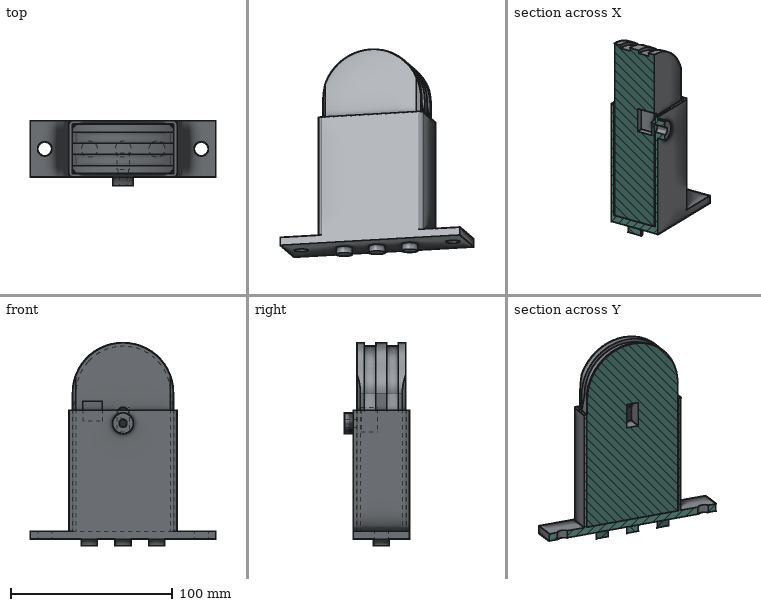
import cadquery as cq


PLATE_LENGTH = 115.0
PLATE_THICKNESS = 5.0
MOUNT_HOLE_SPACING = 97.0
MOUNT_HOLE_DIAMETER = 8.6
TUBE_LENGTH = 67.0
TUBE_WIDTH = 35.0
TUBE_TOP = 80.0
TUBE_WALL = 2.0
TUBE_CORNER_RADIUS = 2.3
CAVITY_CORNER_RADIUS = 1.0
BOSS_DIAMETER = 13.0
BOSS_LENGTH = 5.4
BOSS_BORE = 4.8
BOSS_Z = 71.8

CAVITY_LENGTH = TUBE_LENGTH - 2 * TUBE_WALL
CAVITY_WIDTH = TUBE_WIDTH - 2 * TUBE_WALL

BLOCK_LENGTH = 62.6
BLOCK_WIDTH = 30.2
BLOCK_TOP = 121.8
BLOCK_CHAMFER = 2.1
CENTRE_RIB_WIDTH = 6.8
GROOVE_WIDTH = 7.0
GROOVE_DEPTH = 2.0
GROOVE_RUNOUT = 11.3
FACE_HOLE_DIAMETER = 6.8
FACE_HOLE_TOP = 81.6
FACE_HOLE_DEPTH = 2.5
POCKET_WIDTH = 7.5
POCKET_DEPTH = 10.1
POCKET_HEIGHT = 15.1
RECESS_LENGTH = 12.1
RECESS_LEFT = -25.0
RECESS_TOP = 85.5
RECESS_HEIGHT = 12.1
RECESS_DEPTH = 0.1

BLOCK_RADIUS = BLOCK_LENGTH / 2
BLOCK_BOTTOM = PLATE_THICKNESS
ARC_CENTRE_Z = BLOCK_TOP - BLOCK_RADIUS

FOOT_COUNT = 3
FOOT_DIAMETER = 10.0
FOOT_HEIGHT = 4.2
FOOT_SPACING = 20.9


def cylinder_along_y(diameter, y_start, y_end, z):
    """Cylinder on X = 0 at height z, running from y_start to y_end."""
    direction = cq.Vector(0, 1, 0)
    start = cq.Vector(0, y_start, z)
    return cq.Workplane(cq.Solid.makeCylinder(diameter / 2, y_end - y_start, start, direction))


def upright_prism(length, width, bottom, top):
    """Rectangular prism centred on X = Y = 0."""
    return cq.Workplane("XY", origin=(0, 0, bottom)).rect(length, width).extrude(top - bottom)


def make_housing():
    """Plate, tube and boss as one solid, with the cavity, bore and mounting holes cut."""
    front = -TUBE_WIDTH / 2
    plate = upright_prism(PLATE_LENGTH, TUBE_WIDTH, 0, PLATE_THICKNESS)
    tube = upright_prism(TUBE_LENGTH, TUBE_WIDTH, PLATE_THICKNESS, TUBE_TOP)
    tube = tube.edges("|Z").fillet(TUBE_CORNER_RADIUS)
    boss = cylinder_along_y(BOSS_DIAMETER, front - BOSS_LENGTH, front + TUBE_WALL / 2, BOSS_Z)
    cavity = upright_prism(CAVITY_LENGTH, CAVITY_WIDTH, PLATE_THICKNESS, TUBE_TOP)
    cavity = cavity.edges("|Z").fillet(CAVITY_CORNER_RADIUS)
    bore = cylinder_along_y(BOSS_BORE, front - BOSS_LENGTH, front + TUBE_WALL, BOSS_Z)
    mount_holes = (
        cq.Workplane("XY")
        .rarray(MOUNT_HOLE_SPACING, 1.3, 2, 1)
        .circle(MOUNT_HOLE_DIAMETER / 2)
        .extrude(PLATE_THICKNESS)
    )
    return plate.union(tube).union(boss).cut(cavity).cut(bore).cut(mount_holes)


def block_profile():
    """Straight-sided outline with a half-round top."""
    return (
        cq.Workplane("XZ", origin=(0, BLOCK_WIDTH / 2, 0))
        .moveTo(-BLOCK_RADIUS, BLOCK_BOTTOM)
        .lineTo(-BLOCK_RADIUS, ARC_CENTRE_Z)
        .threePointArc((0, BLOCK_TOP), (BLOCK_RADIUS, ARC_CENTRE_Z))
        .lineTo(BLOCK_RADIUS, BLOCK_BOTTOM)
        .close()
        .extrude(BLOCK_WIDTH)
    )


def make_groove(y_centre):
    """Rim groove of even depth round the top, running out to nothing down each straight side."""
    floor_radius = BLOCK_RADIUS - GROOVE_DEPTH
    runout_z = ARC_CENTRE_Z - GROOVE_RUNOUT
    return (
        cq.Workplane("XZ", origin=(0, y_centre + GROOVE_WIDTH / 2, 0))
        .moveTo(-BLOCK_RADIUS, runout_z)
        .lineTo(-BLOCK_RADIUS, ARC_CENTRE_Z)
        .threePointArc((0, BLOCK_TOP), (BLOCK_RADIUS, ARC_CENTRE_Z))
        .lineTo(BLOCK_RADIUS, runout_z)
        .lineTo(floor_radius, ARC_CENTRE_Z)
        .threePointArc((0, ARC_CENTRE_Z + floor_radius), (-floor_radius, ARC_CENTRE_Z))
        .close()
        .extrude(GROOVE_WIDTH)
    )


def make_hole_and_pocket():
    """Round hole in the front face of the block, opening into a square-sided pocket behind it."""
    front = -BLOCK_WIDTH / 2
    pocket_front = front + FACE_HOLE_DEPTH
    hole = cylinder_along_y(FACE_HOLE_DIAMETER, front, pocket_front, FACE_HOLE_TOP - FACE_HOLE_DIAMETER / 2)
    pocket = cq.Workplane("XY", origin=(0, pocket_front, FACE_HOLE_TOP - POCKET_HEIGHT)).box(
        POCKET_WIDTH, POCKET_DEPTH, POCKET_HEIGHT, centered=(True, False, False)
    )
    return hole.union(pocket)


def make_face_recess():
    """Shallow rectangular recess in the front face of the block."""
    corner = (RECESS_LEFT, -BLOCK_WIDTH / 2, RECESS_TOP - RECESS_HEIGHT)
    return cq.Workplane("XY", origin=corner).box(RECESS_LENGTH, RECESS_DEPTH, RECESS_HEIGHT, centered=False)


def make_block():
    """Arched block with chamfered uprights, two rim grooves, a pocketed hole and a face recess."""
    prism = upright_prism(BLOCK_LENGTH, BLOCK_WIDTH, BLOCK_BOTTOM, BLOCK_TOP)
    prism = prism.edges("|Z").chamfer(BLOCK_CHAMFER)
    block = block_profile().intersect(prism)
    groove_offset = (CENTRE_RIB_WIDTH + GROOVE_WIDTH) / 2
    for y_centre in (-groove_offset, groove_offset):
        block = block.cut(make_groove(y_centre))
    return block.cut(make_hole_and_pocket()).cut(make_face_recess())


def make_foot(x):
    """Short round foot against the underside of the plate."""
    return cq.Workplane("XY", origin=(x, 0, -FOOT_HEIGHT)).circle(FOOT_DIAMETER / 2).extrude(FOOT_HEIGHT)


housing = make_housing()
block = make_block()
first_foot_x = -FOOT_SPACING * (FOOT_COUNT - 1) / 2
feet = [make_foot(first_foot_x + index * FOOT_SPACING) for index in range(FOOT_COUNT)]

result = cq.Compound.makeCompound([housing.val(), block.val(), *[foot.val() for foot in feet]])